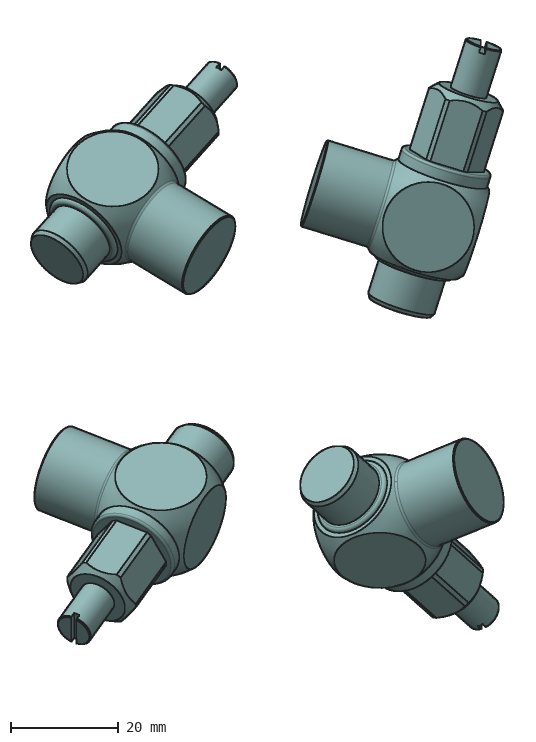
import cadquery as cq
import math


SPHERE_RADIUS = 12.5
BLOCK_X_HALF = 9.3
BLOCK_Y_HALF = 9.0
BLOCK_HEIGHT = 18.3

BOSS_DIAMETER = 16.8
BOSS_END_X = 22.3
BOSS_ROOT_FILLET = 0.68
BOSS_END_CHAMFER = 0.2
SELECTION_MARGIN = 0.1

SHOULDER_DIAMETER = 15.5
SHOULDER_LENGTH = 0.8
PLUG_DIAMETER = 13.0
PLUG_END_Y = -17.5
PLUG_CHAMFER_LENGTH = 0.8
PLUG_CHAMFER_ANGLE = 30.0

COLLAR_END_Y = 11.5
COLLAR_FILLET = 0.5

HEX_ACROSS_FLATS = 13.0
HEX_CORNER_DIAMETER = 14.5
HEX_END_DIAMETER = 11.5
HEX_END_Y = 25.0

STEM_DIAMETER = 7.0
STEM_END_Y = 34.5
STEM_CHAMFER = 0.2
SLOT_WIDTH = 1.1
SLOT_DEPTH = 1.2


def cylinder_along_y(diameter, start_y, end_y):
    """Cylinder on the Y axis between two Y positions, start_y < end_y."""
    end_plane = cq.Workplane("XZ", origin=(0, end_y, 0))
    return end_plane.circle(diameter / 2).extrude(end_y - start_y)


def make_turned_core():
    """Shoulder, spherical block and collar turned as one body about the Y axis."""
    shoulder_radius = SHOULDER_DIAMETER / 2
    shoulder_end_y = -BLOCK_Y_HALF - SHOULDER_LENGTH
    collar_radius = math.sqrt(SPHERE_RADIUS**2 - BLOCK_Y_HALF**2)
    profile = (
        cq.Workplane("XY")
        .moveTo(0, shoulder_end_y)
        .lineTo(shoulder_radius - SHOULDER_LENGTH, shoulder_end_y)
        .radiusArc((shoulder_radius, -BLOCK_Y_HALF), -SHOULDER_LENGTH)
        .lineTo(collar_radius, -BLOCK_Y_HALF)
        .threePointArc((SPHERE_RADIUS, 0), (collar_radius, BLOCK_Y_HALF))
        .lineTo(collar_radius, COLLAR_END_Y - COLLAR_FILLET)
        .radiusArc((collar_radius - COLLAR_FILLET, COLLAR_END_Y), -COLLAR_FILLET)
        .lineTo(0, COLLAR_END_Y)
        .close()
    )
    return profile.revolve(360, (0, 0, 0), (0, 1, 0))


def trim_block_faces(core):
    """Cut the -X, +Z and -Z flats; the side boss covers the sphere's +X cap."""
    box_length = BLOCK_X_HALF + BOSS_END_X
    box_width = 2 * SPHERE_RADIUS
    box = cq.Workplane("XY").box(box_length, box_width, BLOCK_HEIGHT)
    return core.intersect(box.translate((box_length / 2 - BLOCK_X_HALF, 0, 0)))


def add_boss(body):
    """Boss on the X axis, filleted where it leaves the sphere."""
    radius = BOSS_DIAMETER / 2
    boss = cq.Workplane("YZ").circle(radius).extrude(BOSS_END_X)
    boss = boss.faces(">X").edges().chamfer(BOSS_END_CHAMFER)
    root_x = math.sqrt(SPHERE_RADIUS**2 - radius**2)
    margin = SELECTION_MARGIN
    root_zone = cq.selectors.BoxSelector(
        (root_x - margin, -radius - margin, -radius - margin),
        (root_x + margin, radius + margin, radius + margin),
        boundingbox=True,
    )
    return body.union(boss).edges(root_zone).fillet(BOSS_ROOT_FILLET)


def make_plug():
    plug = cylinder_along_y(PLUG_DIAMETER, PLUG_END_Y, -BLOCK_Y_HALF)
    chamfer_depth = PLUG_CHAMFER_LENGTH * math.tan(math.radians(PLUG_CHAMFER_ANGLE))
    return plug.faces("<Y").edges().chamfer(PLUG_CHAMFER_LENGTH, chamfer_depth)


def make_hexagon():
    """Hexagon with two flats facing up and down, chamfered at 45 degrees on its end."""
    across_corners = HEX_ACROSS_FLATS / math.cos(math.pi / 6)
    end_plane = cq.Workplane("XZ", origin=(0, HEX_END_Y, 0))
    prism = end_plane.polygon(6, across_corners).extrude(HEX_END_Y - COLLAR_END_Y)
    envelope = cylinder_along_y(HEX_CORNER_DIAMETER, COLLAR_END_Y, HEX_END_Y)
    chamfer = (HEX_CORNER_DIAMETER - HEX_END_DIAMETER) / 2
    envelope = envelope.faces(">Y").edges().chamfer(chamfer)
    return prism.intersect(envelope)


def make_stem():
    stem = cylinder_along_y(STEM_DIAMETER, HEX_END_Y, STEM_END_Y)
    stem = stem.faces(">Y").edges().chamfer(STEM_CHAMFER)
    slot = cq.Workplane("XY").box(SLOT_WIDTH, 2 * SLOT_DEPTH, STEM_DIAMETER)
    return stem.cut(slot.translate((0, STEM_END_Y, 0)))


result = add_boss(trim_block_faces(make_turned_core()))
for section in (make_plug(), make_hexagon(), make_stem()):
    result = result.union(section)